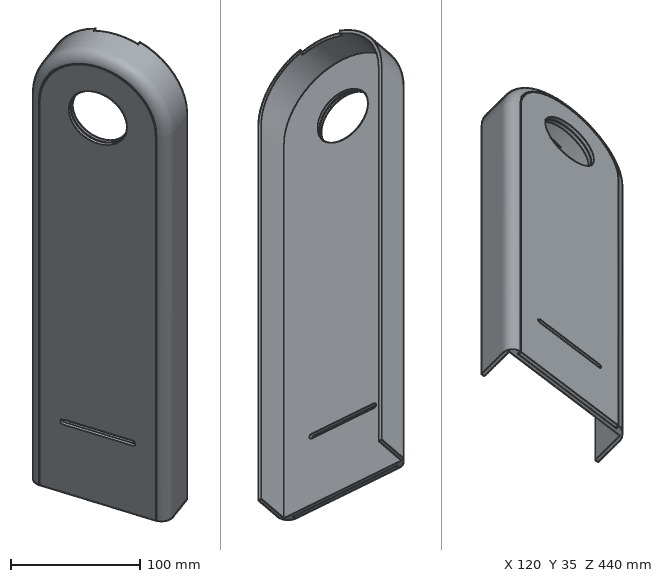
import cadquery as cq

WIDTH = 120.0
DEPTH = 35.0
HEIGHT = 440.0

TOP_RADIUS = WIDTH / 2
ARC_CENTER_Z = HEIGHT - TOP_RADIUS
FRONT_FILLET = 10.0

PANEL_THICKNESS = 3.0
PANEL_MARGIN = FRONT_FILLET
PANEL_GAP = 1.0
RECESS_MARGIN = PANEL_MARGIN - PANEL_GAP

WALL = 3.0
CAVITY_FRONT_Y = PANEL_THICKNESS + WALL

PANEL_HOLE_DIAMETER = 50.0
HOUSING_HOLE_DIAMETER = 49.0

SLOT_CENTER_Z = 69.5
SLOT_CENTER_SPACING = 60.0
SLOT_WIDTH = 5.0

NOTCH_WIDTH = 38.5
NOTCH_DEPTH = 3.0


def arched_plate(margin, front_y, back_y):
    """Plate with a half-round top, inset by margin from the housing outline except at the flat bottom."""
    radius = TOP_RADIUS - margin
    return (
        cq.Workplane("XZ", origin=(0, front_y, 0))
        .moveTo(-radius, 0)
        .lineTo(radius, 0)
        .lineTo(radius, ARC_CENTER_Z)
        .threePointArc((0, ARC_CENTER_Z + radius), (-radius, ARC_CENTER_Z))
        .close()
        .extrude(front_y - back_y)
    )


def front_openings(hole_diameter):
    """Cutter for the round hole and the slot, as deep as the panel and the wall behind it."""
    hole = (
        cq.Workplane("XZ", origin=(0, 0, ARC_CENTER_Z))
        .circle(hole_diameter / 2)
        .extrude(-CAVITY_FRONT_Y)
    )
    slot = (
        cq.Workplane("XZ", origin=(0, 0, SLOT_CENTER_Z))
        .slot2D(SLOT_CENTER_SPACING + SLOT_WIDTH, SLOT_WIDTH)
        .extrude(-CAVITY_FRONT_Y)
    )
    return hole.union(slot)


def back_notch():
    """Cutter for the notch through the back edge of the top wall."""
    return cq.Workplane("XY").box(
        NOTCH_WIDTH, NOTCH_DEPTH, TOP_RADIUS, centered=(True, False, False)
    ).translate((0, DEPTH - NOTCH_DEPTH, ARC_CENTER_Z))


def make_housing():
    """Cover with a rounded front edge, a recess for the panel and a hollow back."""
    outer = arched_plate(0, 0, DEPTH)
    rounded = outer.faces("<Y").edges("not <Z").fillet(FRONT_FILLET)
    recess = arched_plate(RECESS_MARGIN, 0, PANEL_THICKNESS)
    cavity = arched_plate(WALL, CAVITY_FRONT_Y, DEPTH)
    openings = front_openings(HOUSING_HOLE_DIAMETER)
    return rounded.cut(recess).cut(cavity).cut(openings).cut(back_notch())


def make_panel():
    """Flat front panel with a hole slightly larger than that of the housing."""
    plate = arched_plate(PANEL_MARGIN, 0, PANEL_THICKNESS)
    openings = front_openings(PANEL_HOLE_DIAMETER)
    return plate.cut(openings)


housing = make_housing()
panel = make_panel()

result = cq.Compound.makeCompound([housing.val(), panel.val()])